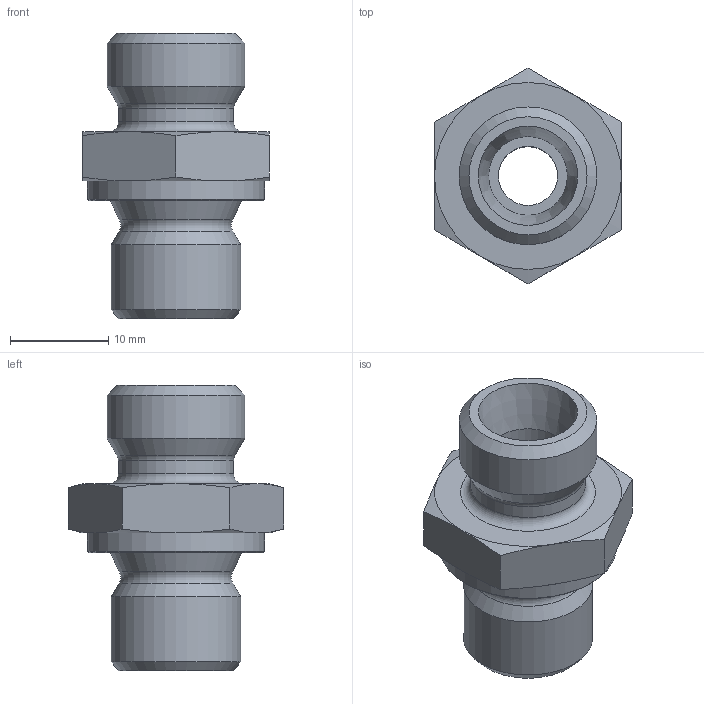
import cadquery as cq
import math

TOTAL_LENGTH = 29.0
STUD_THREAD_END = 7.5
COLLAR_BOTTOM = 12.0
HEX_BOTTOM = 14.0
HEX_TOP = 19.0
TUBE_THREAD_START = 23.6

RUNOUT_ANGLE = 30.0

STUD_DIAMETER = 13.16
STUD_TIP_DIAMETER = 11.7
STUD_CHAMFER_HEIGHT = 0.9
GROOVE_EDGE_DIAMETER = 11.55
GROOVE_RADIUS = 1.1
UNDERCUT_DIAMETER = 13.35
UNDERCUT_HEIGHT = 1.95

COLLAR_DIAMETER = 18.0
COLLAR_CHAMFER = 0.15
HEX_WIDTH = 19.0
HEX_HALF_ANGLE = 30.0
HEX_CHAMFER_ANGLE = 15.0
ENVELOPE_MARGIN = 1.0

TUBE_DIAMETER = 14.0
TUBE_CHAMFER = 1.0
NECK_DIAMETER = 11.7
NECK_FILLET = 1.0

BORE_DIAMETER = 6.0
SOCKET_DIAMETER = 8.0
SOCKET_DEPTH = 7.0
SOCKET_MOUTH_DIAMETER = 10.1
SOCKET_CONE_HALF_ANGLE = 12.0


def tan_deg(angle):
    return math.tan(math.radians(angle))


def revolve_about_axis(profile):
    """Turn a radius/height profile in the XZ plane around Z."""
    return profile.close().revolve(360.0, (0, 0, 0), (0, 1, 0))


def make_stud_end():
    """Lower thread with its tip chamfer, rounded groove, conical undercut and collar."""
    thread_radius = STUD_DIAMETER / 2
    groove_edge_radius = GROOVE_EDGE_DIAMETER / 2
    runout_height = (thread_radius - groove_edge_radius) / tan_deg(RUNOUT_ANGLE)
    collar_radius = COLLAR_DIAMETER / 2
    profile = (
        cq.Workplane("XZ")
        .moveTo(0, 0)
        .lineTo(STUD_TIP_DIAMETER / 2, 0)
        .lineTo(thread_radius, STUD_CHAMFER_HEIGHT)
        .lineTo(thread_radius, STUD_THREAD_END)
        .lineTo(groove_edge_radius, STUD_THREAD_END + runout_height)
        .radiusArc((groove_edge_radius, COLLAR_BOTTOM - UNDERCUT_HEIGHT), GROOVE_RADIUS)
        .lineTo(UNDERCUT_DIAMETER / 2, COLLAR_BOTTOM)
        .lineTo(collar_radius - COLLAR_CHAMFER, COLLAR_BOTTOM)
        .lineTo(collar_radius, COLLAR_BOTTOM + COLLAR_CHAMFER)
        .lineTo(collar_radius, HEX_BOTTOM)
        .lineTo(0, HEX_BOTTOM)
    )
    return revolve_about_axis(profile)


def make_hexagon():
    """Hexagon with flats facing +X and -X and both ends chamfered conically."""
    height = HEX_TOP - HEX_BOTTOM
    flat_radius = HEX_WIDTH / 2
    corner_radius = flat_radius / math.cos(math.radians(HEX_HALF_ANGLE))
    prism = (
        cq.Workplane("XY")
        .workplane(offset=HEX_BOTTOM)
        .polygon(6, 2 * corner_radius)
        .extrude(height)
        .rotate((0, 0, 0), (0, 0, 1), HEX_HALF_ANGLE)
    )
    envelope_radius = corner_radius + ENVELOPE_MARGIN
    drop = (envelope_radius - flat_radius) * tan_deg(HEX_CHAMFER_ANGLE)
    envelope = (
        cq.Workplane("XZ")
        .moveTo(0, HEX_BOTTOM)
        .lineTo(flat_radius, HEX_BOTTOM)
        .lineTo(envelope_radius, HEX_BOTTOM + drop)
        .lineTo(envelope_radius, HEX_TOP - drop)
        .lineTo(flat_radius, HEX_TOP)
        .lineTo(0, HEX_TOP)
    )
    return prism.intersect(revolve_about_axis(envelope))


def make_tube_end():
    """Upper thread on a filleted neck, with a conical thread runout."""
    neck_radius = NECK_DIAMETER / 2
    thread_radius = TUBE_DIAMETER / 2
    runout_height = (thread_radius - neck_radius) / tan_deg(RUNOUT_ANGLE)
    corner_height = TUBE_THREAD_START - runout_height
    tangent_length = NECK_FILLET * tan_deg(RUNOUT_ANGLE / 2)
    runout = math.radians(RUNOUT_ANGLE)
    fillet_end_radius = neck_radius + tangent_length * math.sin(runout)
    fillet_end_height = corner_height + tangent_length * math.cos(runout)
    profile = (
        cq.Workplane("XZ")
        .moveTo(0, HEX_TOP)
        .lineTo(neck_radius + NECK_FILLET, HEX_TOP)
        .radiusArc((neck_radius, HEX_TOP + NECK_FILLET), NECK_FILLET)
        .lineTo(neck_radius, corner_height - tangent_length)
        .radiusArc((fillet_end_radius, fillet_end_height), NECK_FILLET)
        .lineTo(thread_radius, TUBE_THREAD_START)
        .lineTo(thread_radius, TOTAL_LENGTH - TUBE_CHAMFER)
        .lineTo(thread_radius - TUBE_CHAMFER, TOTAL_LENGTH)
        .lineTo(0, TOTAL_LENGTH)
    )
    return revolve_about_axis(profile)


def make_bore():
    """Through bore opening into a tube socket with a conical mouth."""
    bore_radius = BORE_DIAMETER / 2
    socket_radius = SOCKET_DIAMETER / 2
    mouth_radius = SOCKET_MOUTH_DIAMETER / 2
    cone_depth = (mouth_radius - socket_radius) / tan_deg(SOCKET_CONE_HALF_ANGLE)
    socket_floor = TOTAL_LENGTH - SOCKET_DEPTH
    profile = (
        cq.Workplane("XZ")
        .moveTo(0, 0)
        .lineTo(bore_radius, 0)
        .lineTo(bore_radius, socket_floor)
        .lineTo(socket_radius, socket_floor)
        .lineTo(socket_radius, TOTAL_LENGTH - cone_depth)
        .lineTo(mouth_radius, TOTAL_LENGTH)
        .lineTo(0, TOTAL_LENGTH)
    )
    return revolve_about_axis(profile)


body = make_stud_end().union(make_hexagon()).union(make_tube_end())
result = body.cut(make_bore())